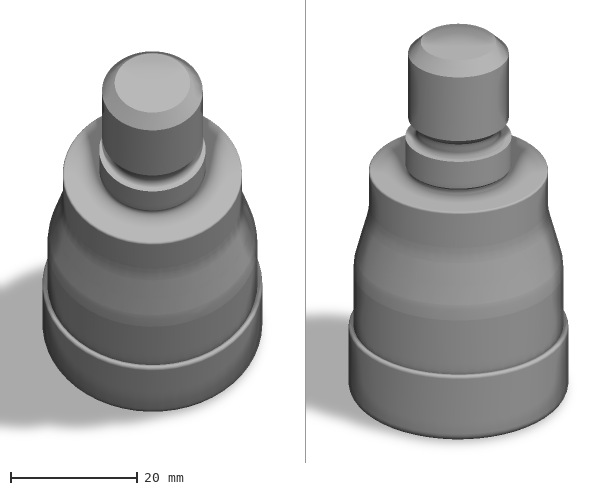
import cadquery as cq
import math

total_height = 63.0

cap_radius = 17.45
cap_height = 12.0
cap_top_fillet = 0.45
cap_bottom_fillet = 1.5

lower_radius = 16.7
upper_radius = 14.25
shoulder_z = 39.95
shoulder_fillet = 0.3
cone_start_z = 21.75
cone_angle = math.radians(15)
blend_radius = 10.0

collar_radius = 8.45
collar_bottom_z = 41.1
collar_top_z = 45.9
neck_radius = 8.0
neck_fillet = 0.45

thread_radius = 8.0
thread_bottom_z = 49.45
thread_chamfer = 2.0
groove_radius = 6.7
groove_fillet = 0.75

ARC_MID = 1 - math.sqrt(0.5)


def make_cap():
    """Solid round cap under the body, rounded at both rims."""
    cap = cq.Workplane("XY").circle(cap_radius).extrude(cap_height)
    cap = cap.faces(">Z").edges().fillet(cap_top_fillet)
    return cap.faces("<Z").edges().fillet(cap_bottom_fillet)


def blend_point(angle):
    """Radial and axial travel along a blend arc that has turned by the given angle."""
    return blend_radius * (1 - math.cos(angle)), blend_radius * math.sin(angle)


def add_bell(profile):
    """Draw the body's outer line from the axis at its foot to the edge of its top face."""
    half_r, half_z = blend_point(cone_angle / 2)
    blend_r, blend_z = blend_point(cone_angle)
    cone_r = lower_radius - upper_radius - 2 * blend_r
    cone_end_z = cone_start_z + 2 * blend_z + cone_r / math.tan(cone_angle)
    return (
        profile.moveTo(0, cap_height)
        .lineTo(lower_radius, cap_height)
        .lineTo(lower_radius, cone_start_z)
        .threePointArc(
            (lower_radius - half_r, cone_start_z + half_z),
            (lower_radius - blend_r, cone_start_z + blend_z),
        )
        .lineTo(upper_radius + blend_r, cone_end_z - blend_z)
        .threePointArc((upper_radius + half_r, cone_end_z - half_z), (upper_radius, cone_end_z))
        .lineTo(upper_radius, shoulder_z - shoulder_fillet)
        .threePointArc(
            (upper_radius - ARC_MID * shoulder_fillet, shoulder_z - ARC_MID * shoulder_fillet),
            (upper_radius - shoulder_fillet, shoulder_z),
        )
    )


def add_root_fillet(profile, radius, z, fillet):
    """Draw a flat face at height z inward and round it up into a cylinder of the given radius."""
    return profile.lineTo(radius + fillet, z).threePointArc(
        (radius + ARC_MID * fillet, z + ARC_MID * fillet), (radius, z + fillet)
    )


def add_stud(profile):
    """Draw the neck, collar, groove and threaded end, finishing on the axis."""
    neck_chamfer = collar_radius - neck_radius
    runout_chamfer = thread_radius - groove_radius
    profile = add_root_fillet(profile, neck_radius, shoulder_z, neck_fillet)
    profile = (
        profile.lineTo(neck_radius, collar_bottom_z - neck_chamfer)
        .lineTo(collar_radius, collar_bottom_z)
        .lineTo(collar_radius, collar_top_z)
    )
    profile = add_root_fillet(profile, groove_radius, collar_top_z, groove_fillet)
    return (
        profile.lineTo(groove_radius, thread_bottom_z - runout_chamfer)
        .lineTo(thread_radius, thread_bottom_z)
        .lineTo(thread_radius, total_height - thread_chamfer)
        .lineTo(thread_radius - thread_chamfer, total_height)
        .lineTo(0, total_height)
    )


def make_housing():
    """Bell-shaped body and its stud, turned about the Z axis as one piece."""
    profile = add_stud(add_bell(cq.Workplane("XZ")))
    return profile.close().revolve(360, (0, 0), (0, 1))


cap = make_cap()
housing = make_housing()

result = cq.Compound.makeCompound([cap.val(), housing.val()])